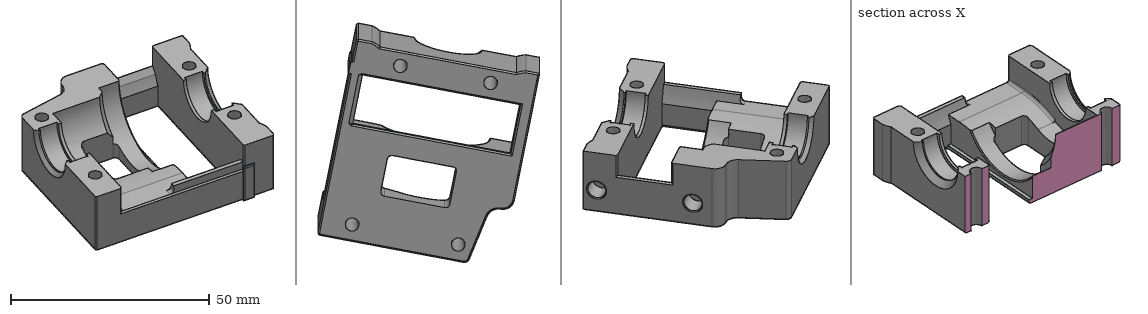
import cadquery as cq
import math


LEFT = -23.35
RIGHT = 23.7
HEIGHT = 17.45
LENGTH = 51.9
EDGE_CHAMFER = 0.4
BORE_OVERRUN = 2.6

SHOULDER_RADIUS = 2.95
HOLLOW_RADIUS = 3.05
SHOULDER_Y = 18.3
FLANK_TILT = math.radians(11)
NOSE_RADIUS = 1.4

REAR_RECESS = 0.95
PAD_FLAT_X = 19.75
PAD_END_X = 17.55
PAD_RADIUS = 7.8

SHAFT_RADIUS = 7.1
BEARING_RADIUS = 8.0
FRONT_BEARING = (1.45, 6.7)
REAR_BEARING = (43.8, 48.9)
FRONT_BEVEL = 1.05
REAR_CONE = 1.65

SLOT_FRONT = 28.9
SLOT_REAR = 42.95
WHEEL_RADIUS = 22.85
SLOT_LEFT = -20.2
SLOT_RIGHT = 20.45
SLOT_RIGHT_BEVEL = 1.05
LEDGE_DEPTH = 1.05
LEDGE_Z = -16.1
LEFT_WALL_Z = -6.0
LEFT_CREST_WIDTH = 0.1
LEFT_WALL_BEVEL_X = -21.5
RIB_TOP_Z = -5.45

CAVITY_FRONT = 7.6
CAVITY_RADIUS = 11.55
GEAR_FRONT = 22.85
CAVITY_CONE = 1.65
CAVITY_CONE_FRONT = GEAR_FRONT - CAVITY_CONE
GEAR_RADIUS = 14.95
GEAR_BEVEL = 0.3
PLATEAU_Z = -7.75
PLATEAU_START_X = 17.15
CAVITY_FOOT_RADIUS = 0.8

RIB_FRONT = 22.9
RIB_FOOT_RADIUS = 1.05

WINDOW_LEFT, WINDOW_RIGHT = -7.6, 10.15
WINDOW_FRONT, WINDOW_REAR = 13.2, 23.9
WINDOW_CORNER = 1.15

SCREW_DIAMETER = 3.4
SCREW_POINTS = [(-11.6, 4.4), (15.65, 4.4), (-11.6, 47.15), (11.55, 47.15)]
SIDE_HOLE_DIAMETER = 4.7
SIDE_HOLE_DEPTH = 5.2
SIDE_HOLE_BEVEL = 0.25
SIDE_HOLE_Z = -10.95
SIDE_HOLE_YS = (23.3, 48.4)

SIDE_PAD_THICKNESS = 0.55
SIDE_PAD_FRONT, SIDE_PAD_REAR = 42.75, 45.9
SIDE_PAD_TOP = -6.65


def circle_z(radius, x):
    """Depth of a circle about the shaft axis at the given X."""
    return -math.sqrt(radius**2 - x**2)


def along_y(profile, front, rear):
    """Extrude an XZ profile, drawn on the XZ plane, from Y = front to Y = rear."""
    return profile.extrude(front - rear).translate((0, front, 0))


def xz_start(x, z):
    return cq.Workplane("XZ").moveTo(x, z)


def revolved_bore(stations):
    """Solid of revolution about the shaft axis through (radius, y) stations."""
    points = [(0, stations[0][1])] + stations + [(0, stations[-1][1])]
    return cq.Workplane("XY").polyline(points).close().revolve(360, (0, 0, 0), (0, 1, 0))


def side_rim(outer_x, front, rear, bottom_z):
    """Opening in a side face with its front, rear and bottom rims bevelled."""
    inward = math.copysign(EDGE_CHAMFER, -outer_x)
    return (
        cq.Workplane("YZ", origin=(outer_x, 0, 0))
        .moveTo((front + rear) / 2, 0)
        .rect(rear - front + 2 * EDGE_CHAMFER, 2 * (EDGE_CHAMFER - bottom_z))
        .extrude(inward, taper=45)
    )


def block():
    recess_y = LENGTH - REAR_RECESS
    shoulder_end = (LEFT + SHOULDER_RADIUS, SHOULDER_Y - SHOULDER_RADIUS)
    hollow_end = (
        shoulder_end[0] + HOLLOW_RADIUS * math.cos(FLANK_TILT),
        shoulder_end[1] - HOLLOW_RADIUS * (1 - math.sin(FLANK_TILT)),
    )
    nose_rise = NOSE_RADIUS * (1 - math.sin(FLANK_TILT))
    nose_x = hollow_end[0] + (hollow_end[1] - nose_rise) * math.tan(FLANK_TILT)
    outline = (
        cq.Workplane("XY", origin=(0, 0, -HEIGHT))
        .moveTo(LEFT, LENGTH)
        .lineTo(LEFT, SHOULDER_Y)
        .radiusArc(shoulder_end, -SHOULDER_RADIUS)
        .radiusArc(hollow_end, HOLLOW_RADIUS)
        .lineTo(nose_x, nose_rise)
        .radiusArc((nose_x + NOSE_RADIUS * math.cos(FLANK_TILT), 0), -NOSE_RADIUS)
        .lineTo(RIGHT, 0)
        .lineTo(RIGHT, LENGTH)
        .lineTo(PAD_FLAT_X, LENGTH)
        .radiusArc((PAD_END_X, recess_y), -PAD_RADIUS)
        .lineTo(-PAD_END_X, recess_y)
        .radiusArc((-PAD_FLAT_X, LENGTH), -PAD_RADIUS)
        .close()
    )
    solid = outline.extrude(HEIGHT)
    solid = solid.edges("|Z and >X").chamfer(EDGE_CHAMFER)
    return solid.faces("<Z").edges().chamfer(EDGE_CHAMFER)


def side_pad():
    overlap = EDGE_CHAMFER
    pad = cq.Workplane("XY").box(
        overlap + SIDE_PAD_THICKNESS,
        SIDE_PAD_REAR - SIDE_PAD_FRONT,
        HEIGHT + SIDE_PAD_TOP,
        centered=False,
    )
    pad = pad.faces(">X").edges().chamfer(SIDE_PAD_THICKNESS / 2)
    return pad.translate((RIGHT - overlap, SIDE_PAD_FRONT, -HEIGHT))


def shaft_bores():
    rear_face = LENGTH - REAR_RECESS
    front = revolved_bore([
        (SHAFT_RADIUS + FRONT_BEVEL, 0),
        (SHAFT_RADIUS, FRONT_BEVEL),
        (SHAFT_RADIUS, FRONT_BEARING[0]),
        (BEARING_RADIUS, FRONT_BEARING[0]),
        (BEARING_RADIUS, FRONT_BEARING[1]),
        (SHAFT_RADIUS, FRONT_BEARING[1]),
        (SHAFT_RADIUS, CAVITY_FRONT + BORE_OVERRUN),
    ])
    rear = revolved_bore([
        (SHAFT_RADIUS, SLOT_REAR - BORE_OVERRUN),
        (SHAFT_RADIUS, REAR_BEARING[0]),
        (BEARING_RADIUS, REAR_BEARING[0]),
        (BEARING_RADIUS, REAR_BEARING[1]),
        (SHAFT_RADIUS, REAR_BEARING[1]),
        (SHAFT_RADIUS, rear_face - REAR_CONE),
        (SHAFT_RADIUS + REAR_CONE, rear_face),
    ])
    return front.union(rear)


def wheel_slot():
    """Slot through the block, with wheel-clearance walls and a floor ledge at its front."""
    crest_left = LEFT + EDGE_CHAMFER
    rim_right = RIGHT - EDGE_CHAMFER
    rib_inner_x = -circle_z(WHEEL_RADIUS, RIB_TOP_Z)

    def profile(floor_z):
        return (
            xz_start(crest_left, 0)
            .lineTo(crest_left, LEFT_WALL_Z)
            .lineTo(crest_left + LEFT_CREST_WIDTH, LEFT_WALL_Z)
            .lineTo(LEFT_WALL_BEVEL_X, circle_z(WHEEL_RADIUS, LEFT_WALL_BEVEL_X))
            .radiusArc((SLOT_LEFT, circle_z(WHEEL_RADIUS, SLOT_LEFT)), -WHEEL_RADIUS)
            .lineTo(SLOT_LEFT, floor_z)
            .lineTo(SLOT_RIGHT, floor_z)
            .lineTo(SLOT_RIGHT, circle_z(WHEEL_RADIUS, SLOT_RIGHT))
            .radiusArc((rib_inner_x, RIB_TOP_Z), -WHEEL_RADIUS)
            .lineTo(rim_right, RIB_TOP_Z)
            .lineTo(rim_right, 0)
            .close()
        )

    opening_front = SLOT_FRONT + LEDGE_DEPTH
    over_ledge = along_y(profile(LEDGE_Z), SLOT_FRONT, SLOT_REAR)
    through = along_y(profile(-HEIGHT), opening_front, SLOT_REAR)
    bottom_bevel = (
        cq.Workplane("XY", origin=(0, 0, -HEIGHT))
        .moveTo((SLOT_LEFT + SLOT_RIGHT) / 2, (opening_front + SLOT_REAR) / 2)
        .rect(
            SLOT_RIGHT - SLOT_LEFT + 2 * EDGE_CHAMFER,
            SLOT_REAR - opening_front + 2 * EDGE_CHAMFER,
        )
        .extrude(EDGE_CHAMFER, taper=45)
    )
    right_bevel = along_y(
        xz_start(SLOT_RIGHT, SLOT_RIGHT_BEVEL - HEIGHT)
        .lineTo(SLOT_RIGHT + SLOT_RIGHT_BEVEL, -HEIGHT)
        .lineTo(SLOT_RIGHT, -HEIGHT)
        .close(),
        opening_front,
        SLOT_REAR,
    )
    left_rim = side_rim(LEFT, SLOT_FRONT, SLOT_REAR, LEFT_WALL_Z)
    bevels = bottom_bevel.union(right_bevel).union(left_rim)
    return over_ledge.union(through).union(bevels)


def gear_cavity():
    """Pocket open to the right: cylinder, swept up by a tangent arc to a flat plateau."""
    ramp_radius = (PLATEAU_START_X**2 + PLATEAU_Z**2 - CAVITY_RADIUS**2) / (
        2 * (CAVITY_RADIUS + PLATEAU_Z)
    )
    reach = CAVITY_RADIUS + ramp_radius
    ramp_start = (
        CAVITY_RADIUS * PLATEAU_START_X / reach,
        CAVITY_RADIUS * (PLATEAU_Z - ramp_radius) / reach,
    )
    trough = along_y(
        xz_start(-CAVITY_RADIUS, 0)
        .radiusArc(ramp_start, -CAVITY_RADIUS)
        .lineTo(ramp_start[0], 0)
        .close(),
        CAVITY_FRONT,
        SLOT_FRONT,
    )
    ramp = along_y(
        xz_start(*ramp_start)
        .radiusArc((PLATEAU_START_X, PLATEAU_Z), ramp_radius)
        .lineTo(RIGHT - EDGE_CHAMFER, PLATEAU_Z)
        .lineTo(RIGHT - EDGE_CHAMFER, 0)
        .lineTo(ramp_start[0], 0)
        .close(),
        CAVITY_FRONT,
        SLOT_FRONT,
    )
    ramp = ramp.faces("<Y").edges("not(|Z or >Z)").fillet(CAVITY_FOOT_RADIUS)
    gear = revolved_bore([
        (CAVITY_RADIUS, CAVITY_CONE_FRONT),
        (CAVITY_RADIUS + CAVITY_CONE, GEAR_FRONT),
        (GEAR_RADIUS, GEAR_FRONT),
        (GEAR_RADIUS, SLOT_FRONT - GEAR_BEVEL),
        (GEAR_RADIUS + GEAR_BEVEL, SLOT_FRONT),
    ])
    right_rim = side_rim(RIGHT, CAVITY_FRONT, SLOT_REAR, PLATEAU_Z)
    return trough.union(ramp).union(gear).union(right_rim)


def rib():
    """Rib above the plateau, its inner face on the wheel clearance, its end on a foot arc."""
    rim_right = RIGHT - EDGE_CHAMFER
    bottom_z = PLATEAU_Z - EDGE_CHAMFER
    section = along_y(
        xz_start(-circle_z(WHEEL_RADIUS, bottom_z), bottom_z)
        .radiusArc((-circle_z(WHEEL_RADIUS, RIB_TOP_Z), RIB_TOP_Z), -WHEEL_RADIUS)
        .lineTo(rim_right, RIB_TOP_Z)
        .lineTo(rim_right, bottom_z)
        .close(),
        RIB_FRONT - RIB_FOOT_RADIUS,
        SLOT_FRONT,
    )
    side = (
        cq.Workplane("YZ")
        .moveTo(SLOT_FRONT, bottom_z)
        .lineTo(SLOT_FRONT, RIB_TOP_Z)
        .lineTo(RIB_FRONT, RIB_TOP_Z)
        .lineTo(RIB_FRONT, PLATEAU_Z + RIB_FOOT_RADIUS)
        .radiusArc((RIB_FRONT - RIB_FOOT_RADIUS, PLATEAU_Z), RIB_FOOT_RADIUS)
        .lineTo(RIB_FRONT - RIB_FOOT_RADIUS, bottom_z)
        .close()
        .extrude(RIGHT)
    )
    return section.intersect(side)


def window():
    return (
        cq.Workplane("XY", origin=(0, 0, -HEIGHT))
        .moveTo((WINDOW_LEFT + WINDOW_RIGHT) / 2, (WINDOW_FRONT + WINDOW_REAR) / 2)
        .rect(WINDOW_RIGHT - WINDOW_LEFT, WINDOW_REAR - WINDOW_FRONT)
        .extrude(HEIGHT)
        .edges("|Z")
        .fillet(WINDOW_CORNER)
    )


def screw_holes():
    return (
        cq.Workplane("XY", origin=(0, 0, -HEIGHT))
        .pushPoints(SCREW_POINTS)
        .circle(SCREW_DIAMETER / 2)
        .extrude(HEIGHT)
    )


def side_holes():
    """Blind bevelled holes in the left face."""
    centres = [(y, SIDE_HOLE_Z) for y in SIDE_HOLE_YS]
    face = cq.Workplane("YZ", origin=(LEFT, 0, 0)).pushPoints(centres)
    holes = face.circle(SIDE_HOLE_DIAMETER / 2).extrude(SIDE_HOLE_DEPTH)
    bevels = face.circle(SIDE_HOLE_DIAMETER / 2 + SIDE_HOLE_BEVEL).extrude(SIDE_HOLE_BEVEL, taper=45)
    return holes.union(bevels)


result = (
    block()
    .cut(wheel_slot())
    .cut(gear_cavity())
    .union(rib())
    .union(side_pad())
    .cut(shaft_bores())
    .cut(window())
    .cut(screw_holes())
    .cut(side_holes())
)